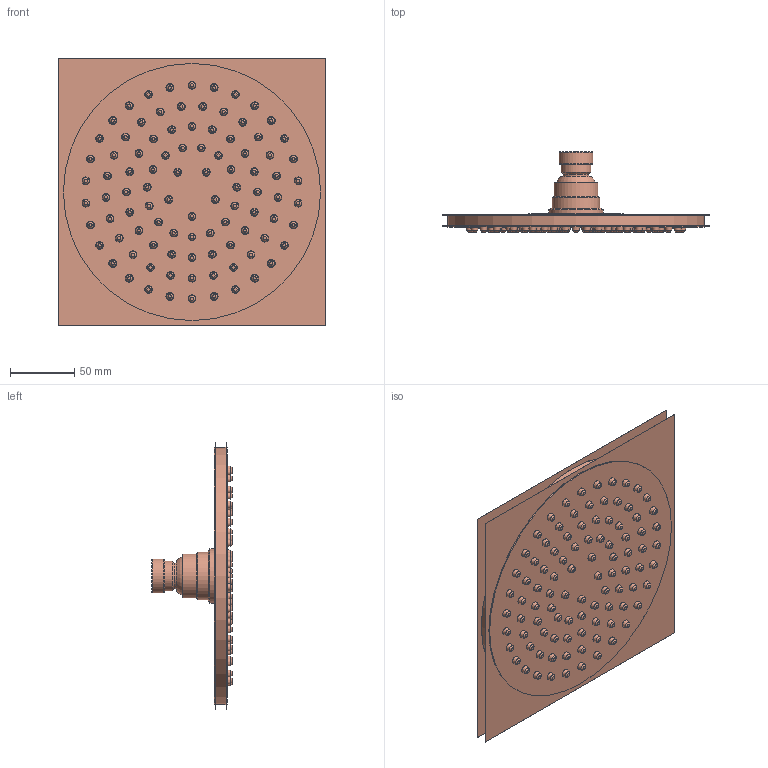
import cadquery as cq
import math


DISC_RADIUS = 100.0
DISC_THICKNESS = 10.0

SHEET_SIDE = 208.0
SHEET_THICKNESS = 0.1
SHEET_INSET = 0.75

NOZZLE_HEIGHT = 4.0
NOZZLE_BASE_RADIUS = 3.0
NOZZLE_RIM_RADIUS = 2.5
NOZZLE_TIP_RADIUS = 1.3
NOZZLE_BEVEL_HEIGHT = 1.1
NOZZLES_PER_RING = [5, 15, 20, 25, 30]
FIRST_RING_RADIUS = 19.0
RING_PITCH = 16.0

FLANGE_RADIUS = 21.0
FLANGE_TOP = 4.6
FLANGE_CHAMFER = 1.2
SHOULDER_RADIUS = 18.5
SHOULDER_TOP = 13.8
SHOULDER_CHAMFER = 0.8
COLLAR_RADIUS = 17.1
COLLAR_TOP = 25.0
COLLAR_CHAMFER = 0.4

BALL_RADIUS = 16.2
BALL_CENTRE_Y = 18.6
BALL_FLAT_RADIUS = 12.0
BALL_FLAT_Y = BALL_CENTRE_Y + math.sqrt(BALL_RADIUS**2 - BALL_FLAT_RADIUS**2)

STEM_RADIUS = 10.0
STEM_TOP = 31.2
NECK_RADIUS = 11.6
NECK_CHAMFER = NECK_RADIUS - STEM_RADIUS
INLET_RADIUS = 13.1
INLET_LENGTH = 10.0
INLET_CHAMFER = 0.6
OVERALL_DEPTH = 62.67
INLET_TOP = OVERALL_DEPTH - DISC_THICKNESS - NOZZLE_HEIGHT
INLET_BOTTOM = INLET_TOP - INLET_LENGTH


def turned(outline):
    """Close a half outline of (radius, y) points and turn it about the Y axis."""
    profile = cq.Workplane("XY").polyline(outline).close()
    return profile.revolve(360, (0, 0, 0), (0, 1, 0))


def make_disc():
    """Round spray disc, from Y = 0 toward -Y."""
    return cq.Workplane("XZ").circle(DISC_RADIUS).extrude(DISC_THICKNESS)


def make_sheet(back_y):
    """Thin square sheet whose back face is at back_y."""
    plane = cq.Workplane("XZ", origin=(0, back_y, 0))
    return plane.rect(SHEET_SIDE, SHEET_SIDE).extrude(SHEET_THICKNESS)


def make_nozzle():
    """One nozzle on the Y axis, standing on the front face of the disc."""
    base_y = -DISC_THICKNESS
    tip_y = base_y - NOZZLE_HEIGHT
    return turned([
        (0, base_y),
        (NOZZLE_BASE_RADIUS, base_y),
        (NOZZLE_RIM_RADIUS, tip_y + NOZZLE_BEVEL_HEIGHT),
        (NOZZLE_TIP_RADIUS, tip_y),
        (0, tip_y),
    ]).val()


def make_nozzles():
    """All nozzles; the first one of each ring is straight below the centre."""
    nozzle = make_nozzle()
    nozzles = []
    for ring, count in enumerate(NOZZLES_PER_RING):
        ring_radius = FIRST_RING_RADIUS + ring * RING_PITCH
        for index in range(count):
            angle = 2 * math.pi * index / count
            x = ring_radius * math.sin(angle)
            z = -ring_radius * math.cos(angle)
            nozzles.append(nozzle.translate(cq.Vector(x, 0, z)))
    return nozzles


def make_swivel_housing():
    """Stepped flange, shoulder and collar on the back of the disc."""
    return turned([
        (0, 0),
        (FLANGE_RADIUS, 0),
        (FLANGE_RADIUS, FLANGE_TOP - FLANGE_CHAMFER),
        (FLANGE_RADIUS - FLANGE_CHAMFER, FLANGE_TOP),
        (SHOULDER_RADIUS, FLANGE_TOP),
        (SHOULDER_RADIUS, SHOULDER_TOP - SHOULDER_CHAMFER),
        (SHOULDER_RADIUS - SHOULDER_CHAMFER, SHOULDER_TOP),
        (COLLAR_RADIUS, SHOULDER_TOP),
        (COLLAR_RADIUS, COLLAR_TOP - COLLAR_CHAMFER),
        (COLLAR_RADIUS - COLLAR_CHAMFER, COLLAR_TOP),
        (0, COLLAR_TOP),
    ])


def make_ball():
    """Ball with a flat on its +Y side, where the stem leaves it."""
    profile = (
        cq.Workplane("XY")
        .moveTo(0, BALL_CENTRE_Y - BALL_RADIUS)
        .threePointArc((BALL_RADIUS, BALL_CENTRE_Y), (BALL_FLAT_RADIUS, BALL_FLAT_Y))
        .lineTo(0, BALL_FLAT_Y)
        .close()
    )
    return profile.revolve(360, (0, 0, 0), (0, 1, 0))


def make_stem():
    """Stem, neck and inlet, from the ball to the open end of the connector."""
    return turned([
        (0, BALL_FLAT_Y),
        (STEM_RADIUS, BALL_FLAT_Y),
        (STEM_RADIUS, STEM_TOP),
        (NECK_RADIUS, STEM_TOP + NECK_CHAMFER),
        (NECK_RADIUS, INLET_BOTTOM),
        (INLET_RADIUS - INLET_CHAMFER, INLET_BOTTOM),
        (INLET_RADIUS, INLET_BOTTOM + INLET_CHAMFER),
        (INLET_RADIUS, INLET_TOP - INLET_CHAMFER),
        (INLET_RADIUS - INLET_CHAMFER, INLET_TOP),
        (0, INLET_TOP),
    ])


def make_shower_head():
    """Disc, sheets, nozzles and swivel housing in one piece, with the ball socket."""
    back_sheet = make_sheet(-SHEET_INSET)
    front_sheet = make_sheet(SHEET_INSET + SHEET_THICKNESS - DISC_THICKNESS)
    head = make_disc().union(back_sheet).union(front_sheet)
    head = cq.Workplane(head.val().fuse(*make_nozzles()))
    return head.union(make_swivel_housing()).cut(make_ball())


def make_ball_connector():
    """Ball, stem, neck and inlet in one piece."""
    return make_ball().union(make_stem())


shower_head = make_shower_head()
ball_connector = make_ball_connector()
result = cq.Compound.makeCompound([*shower_head.solids().vals(), *ball_connector.solids().vals()])